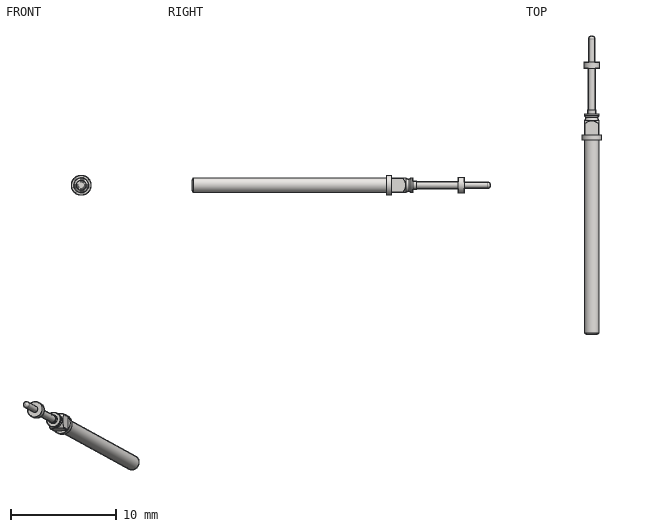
import cadquery as cq

TOTAL_LENGTH = 28.4
BARREL_LENGTH = 18.5
FLANGE_THICKNESS = 0.5
SQUARE_LENGTH = 1.38
NECK_LENGTH = 0.26
RIM_TAPER_LENGTH = 0.18
RIM_LENGTH = 0.18
SLEEVE_LENGTH = 0.35
SHAFT_LENGTH = 3.97
COLLAR_THICKNESS = 0.58

FLANGE_DIAMETER = 1.9
BARREL_DIAMETER = 1.4
SLEEVE_DIAMETER = 0.8
SHAFT_DIAMETER = 0.7
COLLAR_DIAMETER = 1.5
TIP_DIAMETER = 0.6
NECK_ROOT_DIAMETER = 1.14
NECK_END_DIAMETER = 1.3
SQUARE_CORNER_DIAMETER = 1.88

SQUARE_WIDTH = BARREL_DIAMETER
RIM_DIAMETER = BARREL_DIAMETER

BARREL_BEVEL_LENGTH = 0.14
BARREL_BEVEL_INSET = 0.23
SQUARE_CHAMFER = (SQUARE_CORNER_DIAMETER - NECK_END_DIAMETER) / 2
TIP_END_RADIUS = 0.28

square_start = BARREL_LENGTH + FLANGE_THICKNESS
neck_start = square_start + SQUARE_LENGTH
rim_taper_start = neck_start + NECK_LENGTH
rim_start = rim_taper_start + RIM_TAPER_LENGTH
sleeve_start = rim_start + RIM_LENGTH
shaft_start = sleeve_start + SLEEVE_LENGTH
collar_start = shaft_start + SHAFT_LENGTH
tip_start = collar_start + COLLAR_THICKNESS


def disc(start, end, diameter):
    """Round section on the Y axis between two stations."""
    return cq.Workplane("XZ", origin=(0, end, 0)).circle(diameter / 2).extrude(end - start)


def barrel():
    """Long round body with a bevelled end, carrying the stop flange."""
    body = disc(0, BARREL_LENGTH, BARREL_DIAMETER)
    body = body.faces("<Y").chamfer(BARREL_BEVEL_LENGTH, BARREL_BEVEL_INSET)
    return body.union(disc(BARREL_LENGTH, square_start, FLANGE_DIAMETER))


def square_section():
    """Square block with turned corners, its tip end chamfered like a bolt head."""
    block = cq.Workplane("XY").box(SQUARE_WIDTH, SQUARE_LENGTH, SQUARE_WIDTH)
    block = block.translate((0, square_start + SQUARE_LENGTH / 2, 0))
    envelope = disc(square_start, neck_start, SQUARE_CORNER_DIAMETER)
    return block.intersect(envelope.faces(">Y").chamfer(SQUARE_CHAMFER))


def neck_and_rim():
    """Groove that flares out to the square on one side and to the rim on the other."""
    root_radius = NECK_ROOT_DIAMETER / 2
    rim_radius = RIM_DIAMETER / 2
    profile = (
        cq.Workplane("XY")
        .moveTo(0, sleeve_start)
        .lineTo(rim_radius, sleeve_start)
        .lineTo(rim_radius, rim_start)
        .lineTo(root_radius, rim_taper_start)
        .lineTo(NECK_END_DIAMETER / 2, neck_start)
        .lineTo(0, neck_start)
    )
    return profile.close().revolve(360, (0, 0), (0, 1))


def plunger():
    """Stepped plunger: guide sleeve, shaft, collar and rounded tip."""
    tip = disc(tip_start, TOTAL_LENGTH, TIP_DIAMETER).faces(">Y").edges().fillet(TIP_END_RADIUS)
    return (
        disc(sleeve_start, shaft_start, SLEEVE_DIAMETER)
        .union(disc(shaft_start, collar_start, SHAFT_DIAMETER))
        .union(disc(collar_start, tip_start, COLLAR_DIAMETER))
        .union(tip)
    )


result = barrel().union(square_section()).union(neck_and_rim()).union(plunger())